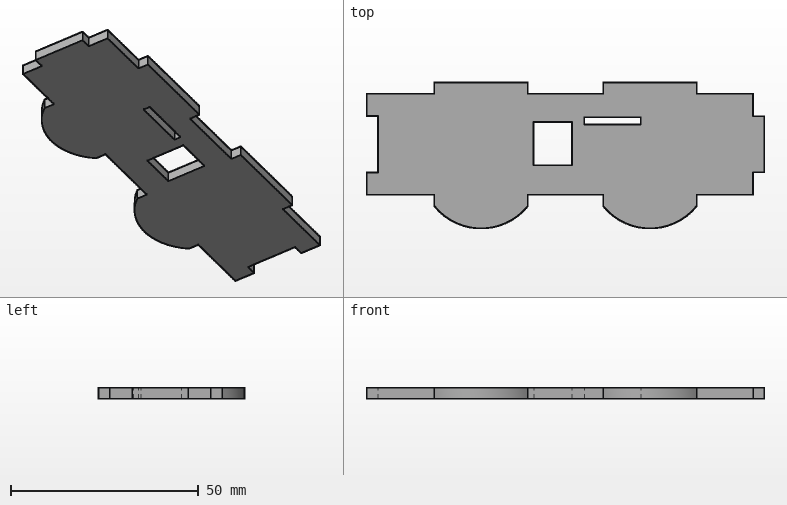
import cadquery as cq

THICKNESS = 3.0
BODY_LENGTH = 103.0
BODY_WIDTH = 27.0
TAB_DEPTH = 3.0

END_JOINT_WIDTH = 15.0
END_JOINT_BOTTOM = (BODY_WIDTH - END_JOINT_WIDTH) / 2

STATION_WIDTH = 25.0
STATION_CENTERS_X = (30.5, 75.5)
LOBE_RADIUS = 16.0
LOBE_DROP = 9.0

WINDOW_LENGTH = 10.2
WINDOW_WIDTH = 11.5
WINDOW_LEFT = 44.5
WINDOW_BOTTOM = 7.9

SLOT_LENGTH = 15.0
SLOT_WIDTH = 1.9
SLOT_LEFT = 58.0
SLOT_BOTTOM = 18.75


def block(left, bottom, length, width):
    """Full-thickness rectangular block placed by its lower-left corner."""
    return cq.Workplane("XY").box(length, width, THICKNESS, centered=False).translate((left, bottom, 0))


def make_body():
    """Main rectangle with a notch at the -X end and a tab at the +X end."""
    body = block(0, 0, BODY_LENGTH, BODY_WIDTH)
    notch = block(0, END_JOINT_BOTTOM, TAB_DEPTH, END_JOINT_WIDTH)
    tab = block(BODY_LENGTH, END_JOINT_BOTTOM, TAB_DEPTH, END_JOINT_WIDTH)
    return body.cut(notch).union(tab)


def make_station(center_x):
    """Strip across the plate: square tab at +Y, disc segment at -Y."""
    left = center_x - STATION_WIDTH / 2
    strip = block(left, -LOBE_DROP, STATION_WIDTH, LOBE_DROP + BODY_WIDTH + TAB_DEPTH)
    disc_center_y = LOBE_RADIUS - LOBE_DROP
    disc = cq.Workplane("XY").center(center_x, disc_center_y).circle(LOBE_RADIUS).extrude(THICKNESS)
    above_disc_center = block(left, disc_center_y, STATION_WIDTH, BODY_WIDTH + TAB_DEPTH - disc_center_y)
    return strip.intersect(disc).union(above_disc_center)


result = make_body()
for station_x in STATION_CENTERS_X:
    result = result.union(make_station(station_x))
result = result.cut(block(WINDOW_LEFT, WINDOW_BOTTOM, WINDOW_LENGTH, WINDOW_WIDTH))
result = result.cut(block(SLOT_LEFT, SLOT_BOTTOM, SLOT_LENGTH, SLOT_WIDTH))
result = result.clean()